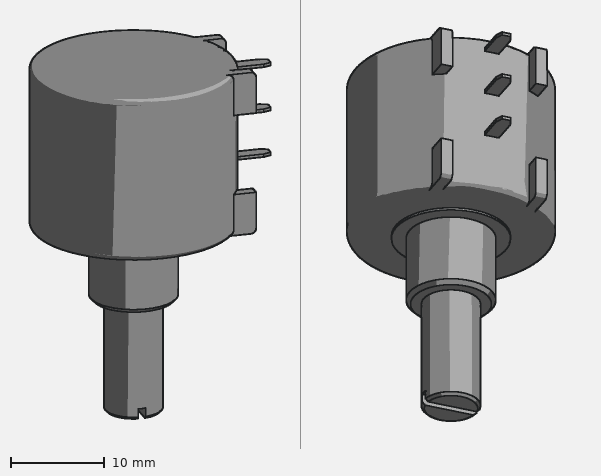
import cadquery as cq

total_height = 39.22
body_diameter = 22.25
body_height = 18.3
rim_radius = 0.63

washer_diameter = 12.7
washer_thickness = 0.27
bushing_diameter = 9.57
bushing_height = 7.95
bushing_chamfer = 0.47
shaft_diameter = 6.3
shaft_chamfer = 0.3
slot_width = 0.82
slot_depth = 1.25

lug_width = 1.3
lug_outer_x = 6.1
lug_height = 4.65
lug_tip_y = 11.8

terminal_tip_y = 15.15
terminal_width = 1.65
terminal_thickness = 0.35
terminal_taper_length = 0.85
terminal_taper_inset = 0.3
terminal_pitch = 5.1
terminal_count = 3
top_terminal_drop = 1.4

body_radius = body_diameter / 2
body_bottom = total_height - body_height
washer_bottom = body_bottom - washer_thickness
bushing_bottom = washer_bottom - bushing_height
root_y = body_radius / 2


def cylinder(diameter, bottom, top):
    return cq.Workplane("XY").workplane(offset=bottom).circle(diameter / 2).extrude(top - bottom)


def make_shaft():
    """Shaft with a chamfered tip and a screwdriver slot along X."""
    shaft = cylinder(shaft_diameter, 0, bushing_bottom).faces("<Z").chamfer(shaft_chamfer)
    slot = cq.Workplane("XY").box(
        shaft_diameter, slot_width, slot_depth, centered=(True, True, False)
    )
    return shaft.cut(slot)


def make_lug(side, bottom, rounded_edge):
    """Locating lug at the rear of the body, rounded at its outer end edge."""
    lug = (
        cq.Workplane("XY")
        .box(lug_width, lug_tip_y - root_y, lug_height, centered=(True, False, False))
        .edges(rounded_edge)
        .fillet(rim_radius)
    )
    return lug.translate((side * (lug_outer_x - lug_width / 2), root_y, bottom))


def make_terminal(middle_z):
    """Flat solder terminal with a tapered tip."""
    half_width = terminal_width / 2
    half_tip = half_width - terminal_taper_inset
    taper_y = terminal_tip_y - terminal_taper_length
    outline = [
        (-half_width, root_y),
        (half_width, root_y),
        (half_width, taper_y),
        (half_tip, terminal_tip_y),
        (-half_tip, terminal_tip_y),
        (-half_width, taper_y),
    ]
    return (
        cq.Workplane("XY")
        .workplane(offset=middle_z - terminal_thickness / 2)
        .polyline(outline)
        .close()
        .extrude(terminal_thickness)
    )


result = cylinder(body_diameter, body_bottom, total_height).edges().fillet(rim_radius)
result = result.union(cylinder(washer_diameter, washer_bottom, body_bottom))
bushing = cylinder(bushing_diameter, bushing_bottom, washer_bottom)
result = result.union(bushing.faces("<Z").chamfer(bushing_chamfer))
result = result.union(make_shaft())

for side in (-1, 1):
    result = result.union(make_lug(side, total_height - lug_height, ">Y and >Z"))
    result = result.union(make_lug(side, body_bottom, ">Y and <Z"))

for index in range(terminal_count):
    middle_z = total_height - top_terminal_drop - index * terminal_pitch
    result = result.union(make_terminal(middle_z))